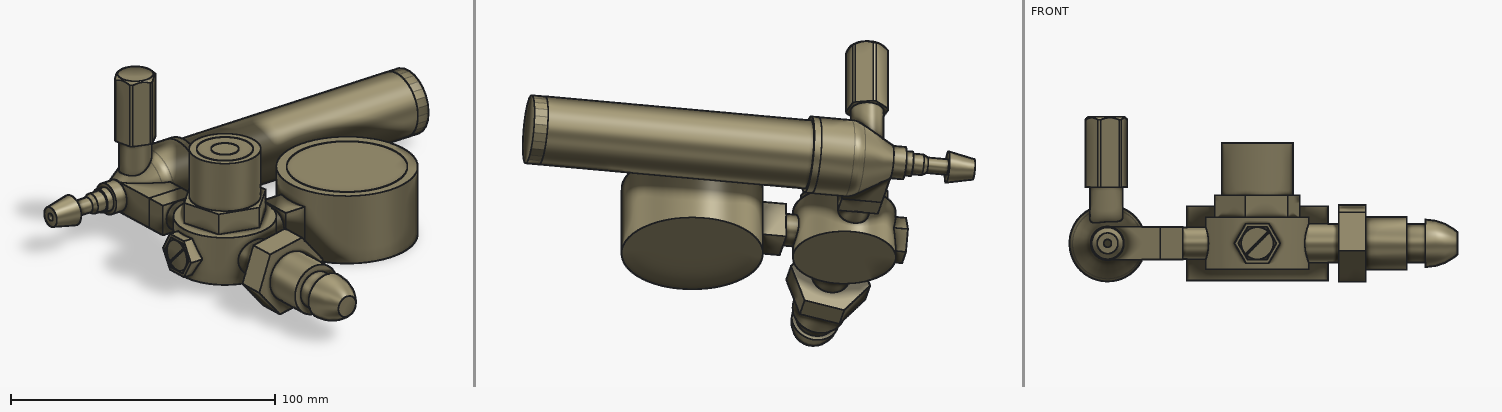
import cadquery as cq
import math


pipe_axis_y = -0.2

body_radius = 19.5
body_half_height = 9.85
outlet_pipe_diameter = 12.0
coupling_start_x = -28.15
coupling_end_x = -36.75
block_width = 15.4
block_height = 12.4

port_front_y = -23.0
port_across_flats = 15.0
port_inner_across_flats = 12.5
plug_diameter = 12.17
slot_width = 0.5
slot_angle = 45.0

bonnet_across_flats = 28.8
bonnet_height = 8.4
bonnet_rotation = 14.0
adjuster_radius = 13.55
adjuster_height = 19.8
adjuster_recess_diameter = 21.4
adjuster_button_diameter = 10.53
adjuster_recess_depth = 0.2

gauge_center_y = 58.5
gauge_radius = 26.8
gauge_half_height = 14.1
gauge_face_diameter = 45.76
gauge_face_depth = 0.2
gauge_block_size = 14.3
gauge_block_start_y = 23.6
gauge_stem_diameter = 12.17

nut_start_x = 30.75
nut_end_x = 41.15
nut_across_flats = 26.8
nut_rotation = 10.2
inlet_pipe_diameter = 14.7
sleeve_end_x = 56.6
sleeve_diameter = 20.1
nose_start_x = 63.65
inlet_end_x = 75.85
nose_radius = 9.05
nose_end_radius = 4.2

flowmeter_x = -56.7
collar_radius = 14.5
collar_end_y = 24.1
tube_joint_y = 21.3
shoulder_y = 8.7
cone_end_y = -7.9
cone_end_radius = 6.4
cone_half_angle = 29.5
neck_diameter = 12.4
neck_end_y = -12.9

valve_x = -57.2
valve_y = 1.4
valve_stem_diameter = 12.5
knob_bottom_z = 21.25
knob_top_z = 48.0
knob_diameter = 16.1
knob_across_flats = 14.5
knob_rotation = 11.0
knob_chamfer_height = 1.2
knob_chamfer_width = 1.3

tube_radius = 13.0
cap_start_y = 126.3
cap_end_y = 131.5
cap_facets = 25
cap_rotation = 0.5

barb_step_diameter = 9.38
barb_step_end_y = -15.8
barb_ring_diameter = 7.95
barb_ring_end_y = -19.9
barb_stem_diameter = 6.0
barb_stem_start_y = -21.7
barb_cone_start_y = -29.5
barb_end_y = -39.62
barb_cone_diameter = 12.0
barb_tip_diameter = 7.87
barb_bore_diameter = 2.95


def cylinder(start, direction, radius, length):
    """Solid cylinder from a start point along a direction."""
    return cq.Workplane(cq.Solid.makeCylinder(radius, length, cq.Vector(*start), cq.Vector(*direction)))


def hex_prism(plane, across_flats, length, rotation):
    """Hexagonal prism on a plane, with one corner turned by rotation from the plane's x direction."""
    corner_diameter = across_flats / math.cos(math.pi / 6)
    return cq.Workplane(plane.rotated((0, 0, rotation))).polygon(6, corner_diameter).extrude(length)


def revolve_about_flowmeter(profile):
    """Revolve a profile of (radius, y) about the flowmeter axis."""
    return profile.close().revolve(360, (0, 0, 0), (0, 1, 0)).translate((flowmeter_x, 0, 0))


def flowmeter_block(start_x, end_x):
    """Length of the rectangular bar between the flowmeter and the regulator."""
    return cq.Workplane("XY").box(end_x - start_x, block_width, block_height).translate(
        ((start_x + end_x) / 2, pipe_axis_y, 0)
    )


regulator_core = cylinder((0, 0, -body_half_height), (0, 0, 1), body_radius, 2 * body_half_height)


def make_regulator():
    outlet_pipe = cylinder((0, pipe_axis_y, 0), (-1, 0, 0), outlet_pipe_diameter / 2, -coupling_start_x)
    coupling = flowmeter_block(coupling_end_x, coupling_start_x)
    port_length = -port_front_y
    axis_plane = cq.Plane(origin=(0, 0, 0), xDir=(1, 0, 0), normal=(0, -1, 0))
    port = hex_prism(axis_plane, port_across_flats, port_length, 0)
    port = port.cut(hex_prism(axis_plane, port_inner_across_flats, port_length, 0))
    plug = cylinder((0, 0, 0), (0, -1, 0), plug_diameter / 2, port_length)
    slot = (
        cq.Workplane(axis_plane.rotated((0, 0, slot_angle)))
        .rect(plug_diameter, slot_width)
        .extrude(port_length)
    )
    return regulator_core.union(outlet_pipe).union(coupling).union(port).union(plug.cut(slot))


def make_adjuster():
    bonnet_plane = cq.Plane(origin=(0, 0, body_half_height))
    bonnet = hex_prism(bonnet_plane, bonnet_across_flats, bonnet_height, bonnet_rotation)
    bonnet_top = body_half_height + bonnet_height
    knob = cylinder((0, 0, bonnet_top), (0, 0, 1), adjuster_radius, adjuster_height)
    recess = (
        cq.Workplane("XY", origin=(0, 0, bonnet_top + adjuster_height))
        .circle(adjuster_recess_diameter / 2)
        .circle(adjuster_button_diameter / 2)
        .extrude(-adjuster_recess_depth)
    )
    return bonnet.union(knob).cut(recess)


def make_gauge():
    case = cylinder((0, gauge_center_y, -gauge_half_height), (0, 0, 1), gauge_radius, 2 * gauge_half_height)
    case_top = (0, gauge_center_y, gauge_half_height)
    face_recess = cylinder(case_top, (0, 0, -1), gauge_face_diameter / 2, gauge_face_depth)
    block_length = gauge_center_y - gauge_block_start_y
    block = cq.Workplane("XY").box(gauge_block_size, block_length, gauge_block_size).translate(
        (0, gauge_block_start_y + block_length / 2, 0)
    )
    stem = cylinder((0, 0, 0), (0, 1, 0), gauge_stem_diameter / 2, gauge_center_y)
    return case.union(block).union(stem).cut(face_recess).cut(regulator_core)


def make_nut():
    nut_plane = cq.Plane(origin=(nut_start_x, pipe_axis_y, 0), xDir=(0, 1, 0), normal=(1, 0, 0))
    nut_length = nut_end_x - nut_start_x
    nut = hex_prism(nut_plane, nut_across_flats, nut_length, nut_rotation)
    return nut.cut(cylinder((nut_start_x, pipe_axis_y, 0), (1, 0, 0), inlet_pipe_diameter / 2, nut_length))


def make_nipple():
    pipe_radius = inlet_pipe_diameter / 2
    sleeve_radius = sleeve_diameter / 2
    nose_length = inlet_end_x - nose_start_x
    nose_drop = nose_radius - nose_end_radius
    arc_radius = (nose_length**2 + nose_drop**2) / (2 * nose_drop)
    half_sweep = math.asin(nose_length / arc_radius) / 2
    nose_middle = (
        nose_start_x + arc_radius * math.sin(half_sweep),
        nose_radius - arc_radius * (1 - math.cos(half_sweep)),
    )
    profile = (
        cq.Workplane("XY")
        .lineTo(0, pipe_radius)
        .lineTo(nut_end_x, pipe_radius)
        .lineTo(nut_end_x, sleeve_radius)
        .lineTo(sleeve_end_x, sleeve_radius)
        .lineTo(sleeve_end_x, pipe_radius)
        .lineTo(nose_start_x, pipe_radius)
        .lineTo(nose_start_x, nose_radius)
        .threePointArc(nose_middle, (inlet_end_x, nose_end_radius))
        .lineTo(inlet_end_x, 0)
        .close()
    )
    nipple = profile.revolve(360, (0, 0, 0), (1, 0, 0)).translate((0, pipe_axis_y, 0))
    return nipple.cut(regulator_core)


def make_housing():
    angle = math.radians(cone_half_angle)
    corner_y = cone_end_y + (collar_radius - cone_end_radius) / math.tan(angle)
    tangent_length = shoulder_y - corner_y
    fillet_radius = tangent_length / math.tan(angle / 2)
    fillet_center_radius = collar_radius - fillet_radius
    fillet_middle = (
        fillet_center_radius + fillet_radius * math.cos(angle / 2),
        shoulder_y - fillet_radius * math.sin(angle / 2),
    )
    fillet_end = (
        fillet_center_radius + fillet_radius * math.cos(angle),
        shoulder_y - fillet_radius * math.sin(angle),
    )
    profile = (
        cq.Workplane("XY")
        .moveTo(0, tube_joint_y)
        .lineTo(collar_radius, tube_joint_y)
        .lineTo(collar_radius, shoulder_y)
        .threePointArc(fillet_middle, fillet_end)
        .lineTo(cone_end_radius, cone_end_y)
        .lineTo(neck_diameter / 2, cone_end_y)
        .lineTo(neck_diameter / 2, neck_end_y)
        .lineTo(0, neck_end_y)
    )
    arm = flowmeter_block(flowmeter_x, coupling_end_x)
    valve_stem = cylinder((valve_x, valve_y, 0), (0, 0, 1), valve_stem_diameter / 2, knob_bottom_z)
    return revolve_about_flowmeter(profile).union(arm).union(valve_stem)


def make_valve_knob():
    knob_plane = cq.Plane(origin=(valve_x, valve_y, knob_bottom_z))
    knob_height = knob_top_z - knob_bottom_z
    hexagon = hex_prism(knob_plane, knob_across_flats, knob_height, knob_rotation)
    rounded = (
        cylinder((valve_x, valve_y, knob_bottom_z), (0, 0, 1), knob_diameter / 2, knob_height)
        .faces(">Z")
        .chamfer(knob_chamfer_height, knob_chamfer_width)
    )
    return hexagon.intersect(rounded)


def make_sight_tube():
    profile = (
        cq.Workplane("XY")
        .moveTo(0, tube_joint_y)
        .lineTo(collar_radius, tube_joint_y)
        .lineTo(collar_radius, collar_end_y)
        .lineTo(tube_radius, collar_end_y)
        .lineTo(tube_radius, cap_start_y)
        .lineTo(0, cap_start_y)
    )
    return revolve_about_flowmeter(profile)


def make_tube_cap():
    cap_plane = cq.Plane(origin=(flowmeter_x, cap_start_y, 0), xDir=(1, 0, 0), normal=(0, 1, 0))
    return (
        cq.Workplane(cap_plane.rotated((0, 0, cap_rotation)))
        .polygon(cap_facets, 2 * tube_radius)
        .extrude(cap_end_y - cap_start_y)
    )


def make_barb():
    step_radius = barb_step_diameter / 2
    ring_radius = barb_ring_diameter / 2
    stem_radius = barb_stem_diameter / 2
    profile = (
        cq.Workplane("XY")
        .moveTo(0, neck_end_y)
        .lineTo(step_radius, neck_end_y)
        .lineTo(step_radius, barb_step_end_y)
        .lineTo(ring_radius, barb_step_end_y)
        .lineTo(ring_radius, barb_ring_end_y)
        .lineTo(stem_radius, barb_stem_start_y)
        .lineTo(stem_radius, barb_cone_start_y)
        .lineTo(barb_cone_diameter / 2, barb_cone_start_y)
        .lineTo(barb_tip_diameter / 2, barb_end_y)
        .lineTo(0, barb_end_y)
    )
    bore = cylinder((flowmeter_x, barb_end_y, 0), (0, 1, 0), barb_bore_diameter / 2, neck_end_y - barb_end_y)
    return revolve_about_flowmeter(profile).cut(bore)


regulator = make_regulator()
adjuster = make_adjuster()
gauge = make_gauge()
nut = make_nut()
nipple = make_nipple()
housing = make_housing()
valve_knob = make_valve_knob()
sight_tube = make_sight_tube()
tube_cap = make_tube_cap()
barb = make_barb()

bodies = [regulator, adjuster, gauge, nut, nipple, housing, valve_knob, sight_tube, tube_cap, barb]
result = cq.Compound.makeCompound([body.solids().val() for body in bodies])